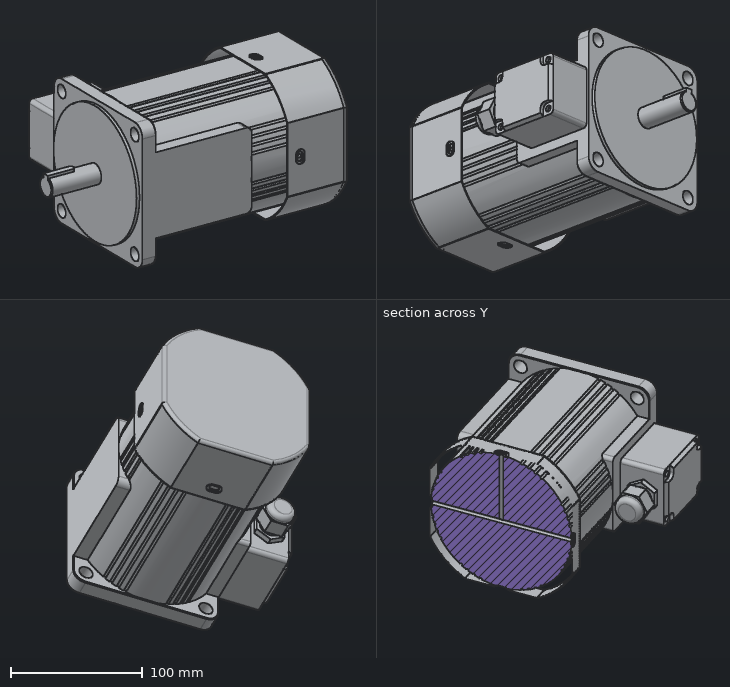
import cadquery as cq
import math


FLANGE_SIZE = 120.0
FLANGE_THICKNESS = 12.8
FLANGE_CORNER_RADIUS = 10.0
FLANGE_BACK_CHAMFER = 0.7
BOLT_CIRCLE_DIAMETER = 140.0
BOLT_HOLE_DIAMETER = 11.0
SPIGOT_DIAMETER = 112.3
SPIGOT_HEIGHT = 2.8
FRAME_RADIUS = FLANGE_SIZE / 2
GROOVE_RADIUS = 1.06
GROOVE_PITCH_ANGLE = 6
GROOVES_PER_GROUP = 4
SIDE_GROOVE_START_ANGLE = 12
TOP_GROOVE_START_ANGLE = 17
BOX_PAD_HEIGHT = 67.2
PLAIN_PAD_HEIGHT = 71.5
PAD_ROOT_X = 45.0
BOX_PAD_END = 75.0
BOX_PAD_CORNER_RADIUS = 3.0
PLAIN_PAD_END = 100.3
PLAIN_PAD_CORNER_RADIUS = 5.7

COVER_SIZE = 121.5
COVER_RADIUS = 68.0
COVER_START = 132.5
COVER_LENGTH = 55.8
COVER_END_WALL = 3.8
COVER_SKIN = (COVER_SIZE - FLANGE_SIZE) / 2
COVER_END = COVER_START + COVER_LENGTH
FRAME_END = COVER_END - COVER_END_WALL
COVER_END_FILLET = 2.8
SLOT_CENTER_Y = 144.5
SLOT_LENGTH = 12.0
SLOT_WIDTH = 7.8
POCKET_LENGTH = 8.0
POCKET_WIDTH = 4.5
POCKET_DEPTH = 1.0
PIERCING_DIAMETER = 2.8

SHAFT_RADIUS = 8.5
SHAFT_END = -48.2
SHAFT_CHAMFER = 1.0
KEY_WIDTH = 6.0
KEY_LENGTH = 25.8
KEY_TOP = 10.5

BOX_OUTER_X = -100.0
BOX_START = 2.1
BOX_LENGTH = 60.0
BOX_HEIGHT = 50.8
BOX_CORNER_RADIUS = 3.3
BOX_RIM_DEPTH = 3.3
BOX_RIM_INSET = 2.1
SCREW_SEAT_SIZE = 10.2
SCREW_SEAT_RADIUS = 4.3
SCREW_INSET = 5.2
SCREW_HOLE_DIAMETER = 5.0
SCREW_HOLE_DEPTH = 2.4

GLAND_X = -79.7
BASE_FLATS = 23.2
BASE_HEIGHT = 5.0
NECK_DIAMETER = 18.5
NECK_HEIGHT = 4.7
NUT_FLATS = 24.4
NUT_HEIGHT = 12.5
DOME_DIAMETER = 23.2
DOME_HEIGHT = 6.5
DOME_FILLET = 4.3


def plane_at(y, x=0):
    """Plane normal to the motor axis; its local axes are X and Z, and it extrudes toward -Y."""
    return cq.Workplane("XZ", origin=(x, y, 0))


def block(x_range, y_range, height):
    """Box given by its X and Y ranges, centred on z = 0."""
    (x0, x1), (y0, y1) = x_range, y_range
    return (
        cq.Workplane("XY")
        .box(x1 - x0, y1 - y0, height)
        .translate(((x0 + x1) / 2, (y0 + y1) / 2, 0))
    )


def groove_angles():
    """Angles of all frame grooves from +X, mirrored about both X and Z."""
    steps = [i * GROOVE_PITCH_ANGLE for i in range(GROOVES_PER_GROUP)]
    quarter = [SIDE_GROOVE_START_ANGLE + step for step in steps]
    quarter += [90 - TOP_GROOVE_START_ANGLE - step for step in steps]
    right_half = quarter + [-angle for angle in quarter]
    return right_half + [180 - angle for angle in right_half]


def slots_on_four_sides(length, width, outer_distance, depth):
    """Slot-shaped cutters on the +Z, +X, -Z and -X sides, sunk inward from a distance off the axis."""
    slot = (
        cq.Workplane("XY", origin=(0, SLOT_CENTER_Y, outer_distance))
        .slot2D(length, width)
        .extrude(-depth)
    )
    return [slot.rotate((0, 0, 0), (0, 1, 0), quarter_turn * 90) for quarter_turn in range(4)]


def cut_slot_pockets(frame):
    """Cut a pocket under each cover slot, a cross hole along X and a top hole that meets it."""
    for pocket in slots_on_four_sides(POCKET_LENGTH, POCKET_WIDTH, FRAME_RADIUS, POCKET_DEPTH):
        frame = frame.cut(pocket)
    cross_hole = (
        cq.Workplane("YZ", origin=(0, SLOT_CENTER_Y, 0))
        .circle(PIERCING_DIAMETER / 2)
        .extrude(FRAME_RADIUS, both=True)
    )
    top_hole = (
        cq.Workplane("XY", origin=(0, SLOT_CENTER_Y, 0))
        .circle(PIERCING_DIAMETER / 2)
        .extrude(FRAME_RADIUS)
    )
    return frame.cut(cross_hole).cut(top_hole)


def make_frame():
    """Round motor frame with half-round grooves along its length."""
    centers = [
        (FRAME_RADIUS * math.cos(math.radians(angle)), FRAME_RADIUS * math.sin(math.radians(angle)))
        for angle in groove_angles()
    ]
    frame_length = FRAME_END - FLANGE_THICKNESS
    frame = plane_at(FRAME_END).circle(FRAME_RADIUS).extrude(frame_length)
    grooves = plane_at(FRAME_END).pushPoints(centers).circle(GROOVE_RADIUS).extrude(frame_length)
    return cut_slot_pockets(frame.cut(grooves))


def make_pad(side, height, end_y, corner_radius):
    """Flat pad on the -X (side = -1) or +X (side = 1) side of the frame, flush with the flange."""
    x_range = sorted((side * PAD_ROOT_X, side * FLANGE_SIZE / 2))
    pad = block(x_range, (FLANGE_THICKNESS / 2, end_y), height)
    return pad.edges("|X and >Y").fillet(corner_radius)


def make_flange():
    """Square mounting flange with a centring spigot and four bolt holes."""
    bolt_pitch = BOLT_CIRCLE_DIAMETER / math.sqrt(2)
    flange = (
        plane_at(FLANGE_THICKNESS)
        .rect(FLANGE_SIZE, FLANGE_SIZE)
        .extrude(FLANGE_THICKNESS)
        .edges("|Y")
        .fillet(FLANGE_CORNER_RADIUS)
        .faces(">Y")
        .chamfer(FLANGE_BACK_CHAMFER)
    )
    spigot = plane_at(0).circle(SPIGOT_DIAMETER / 2).extrude(SPIGOT_HEIGHT)
    holes = (
        plane_at(FLANGE_THICKNESS)
        .rect(bolt_pitch, bolt_pitch, forConstruction=True)
        .vertices()
        .circle(BOLT_HOLE_DIAMETER / 2)
        .extrude(FLANGE_THICKNESS)
    )
    return flange.union(spigot).cut(holes)


def make_housing():
    box_pad = make_pad(-1, BOX_PAD_HEIGHT, BOX_PAD_END, BOX_PAD_CORNER_RADIUS)
    plain_pad = make_pad(1, PLAIN_PAD_HEIGHT, PLAIN_PAD_END, PLAIN_PAD_CORNER_RADIUS)
    return make_flange().union(make_frame()).union(box_pad).union(plain_pad)


def cover_prism(start_y, end_y, inset):
    """Round prism with four flats, as the cover outline moved inward by the inset."""
    length = end_y - start_y
    size = COVER_SIZE - 2 * inset
    square = plane_at(end_y).rect(size, size).extrude(length)
    return plane_at(end_y).circle(COVER_RADIUS - inset).extrude(length).intersect(square)


def make_cover():
    """Thin fan cover over the frame end, open toward the flange, with a slot through each flat."""
    cover = cover_prism(COVER_START, COVER_END, 0)
    cover = cover.faces(">Y").edges().fillet(COVER_END_FILLET)
    cover = cover.cut(cover_prism(COVER_START, FRAME_END, COVER_SKIN))
    for slot in slots_on_four_sides(SLOT_LENGTH, SLOT_WIDTH, COVER_SIZE / 2, COVER_SKIN):
        cover = cover.cut(slot)
    return cover


def make_shaft():
    """Output shaft standing on the spigot, with a round-ended key on its +Z side."""
    shaft = (
        plane_at(-SPIGOT_HEIGHT)
        .circle(SHAFT_RADIUS)
        .extrude(-SPIGOT_HEIGHT - SHAFT_END)
        .faces("<Y")
        .chamfer(SHAFT_CHAMFER)
    )
    half_width = KEY_WIDTH / 2
    arc_start = SHAFT_END + KEY_LENGTH - half_width
    key = (
        cq.Workplane("XY")
        .moveTo(-half_width, SHAFT_END)
        .lineTo(half_width, SHAFT_END)
        .lineTo(half_width, arc_start)
        .threePointArc((0, SHAFT_END + KEY_LENGTH), (-half_width, arc_start))
        .close()
        .extrude(KEY_TOP)
    )
    return shaft.union(key)


def make_terminal_box():
    """Box on the -X pad, with a bevelled outer rim and a sunk screw seat at each corner."""
    box_end = BOX_START + BOX_LENGTH
    blank = block((BOX_OUTER_X, -FLANGE_SIZE / 2), (BOX_START, box_end), BOX_HEIGHT)
    rounded = blank.edges("|X").fillet(BOX_CORNER_RADIUS)
    bevelled = blank.faces("<X").chamfer(BOX_RIM_INSET, BOX_RIM_DEPTH)
    box = rounded.intersect(bevelled)

    seat_floor_x = BOX_OUTER_X + BOX_RIM_DEPTH
    center_y = BOX_START + BOX_LENGTH / 2
    for y_side in (-1, 1):
        for z_side in (-1, 1):
            corner_y = center_y + y_side * BOX_LENGTH / 2
            corner_z = z_side * BOX_HEIGHT / 2
            seat = (
                block((BOX_OUTER_X, seat_floor_x), (-SCREW_SEAT_SIZE, SCREW_SEAT_SIZE), 2 * SCREW_SEAT_SIZE)
                .edges("|X")
                .fillet(SCREW_SEAT_RADIUS)
                .translate((0, corner_y, corner_z))
            )
            screw_y = corner_y - y_side * SCREW_INSET
            screw_z = corner_z - z_side * SCREW_INSET
            screw_hole = (
                cq.Workplane("YZ", origin=(seat_floor_x, screw_y, screw_z))
                .circle(SCREW_HOLE_DIAMETER / 2)
                .extrude(SCREW_HOLE_DEPTH)
            )
            box = box.cut(seat).cut(screw_hole)
    return box


def hex_prism(y_start, height, flats, corner_angle):
    """Hexagonal prism on the gland axis with a corner at the given angle from X."""
    corner_diameter = flats / math.cos(math.pi / 6)
    return (
        plane_at(y_start + height, GLAND_X)
        .transformed(rotate=(0, 0, corner_angle))
        .polygon(6, corner_diameter)
        .extrude(height)
    )


def gland_cylinder(y_start, height, diameter):
    return plane_at(y_start + height, GLAND_X).circle(diameter / 2).extrude(height)


def make_gland():
    """Cable gland on the +Y wall of the terminal box: hex base, neck, hex nut and rounded dome."""
    base_y = BOX_START + BOX_LENGTH
    neck_y = base_y + BASE_HEIGHT
    nut_y = neck_y + NECK_HEIGHT
    dome_y = nut_y + NUT_HEIGHT
    base = hex_prism(base_y, BASE_HEIGHT, BASE_FLATS, 90)
    neck = gland_cylinder(neck_y, NECK_HEIGHT, NECK_DIAMETER)
    nut = hex_prism(nut_y, NUT_HEIGHT, NUT_FLATS, 0)
    dome = gland_cylinder(dome_y, DOME_HEIGHT, DOME_DIAMETER).faces(">Y").edges().fillet(DOME_FILLET)
    return base.union(neck).union(nut).union(dome)


housing = make_housing()
cover = make_cover()
shaft = make_shaft()
terminal_box = make_terminal_box()
gland = make_gland()

bodies = (housing, cover, shaft, terminal_box, gland)
result = cq.Compound.makeCompound([body.solids().val() for body in bodies])